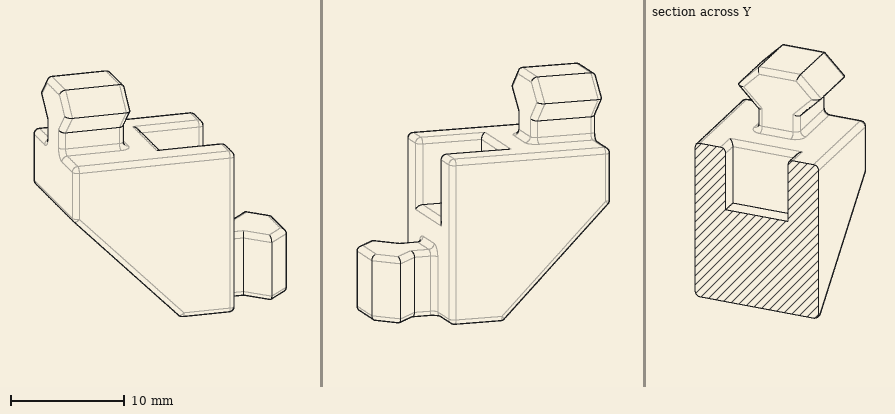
import cadquery as cq

BODY_WIDTH = 12.0
BODY_SIZE = 15.0
BEVEL_LEG = 10.0
EDGE_RADIUS = 0.5

TAB_LENGTH = 6.0
NECK_WIDTH = 4.0
NECK_HEIGHT = 2.0
HEAD_WIDTH = 8.0
HEAD_HEIGHT = 4.0

NOTCH_SIZE = 6.0

TOLERANCE = 1e-3


def make_body():
    """Block with a sloping lower front, centred on X."""
    outline = [
        (BEVEL_LEG, 0),
        (BODY_SIZE, 0),
        (BODY_SIZE, BODY_SIZE),
        (0, BODY_SIZE),
        (0, BEVEL_LEG),
    ]
    return cq.Workplane("YZ").polyline(outline).close().extrude(BODY_WIDTH / 2, both=True)


def make_tab(plane, extrusion):
    """Tab whose profile stands on the body face at a distance BODY_SIZE along the plane's second axis."""
    half_neck = NECK_WIDTH / 2
    half_head = HEAD_WIDTH / 2
    shoulder = BODY_SIZE + NECK_HEIGHT
    widest = shoulder + HEAD_HEIGHT / 2
    tip = shoulder + HEAD_HEIGHT
    outline = [
        (-half_neck, BODY_SIZE),
        (half_neck, BODY_SIZE),
        (half_neck, shoulder),
        (half_head, widest),
        (half_neck, tip),
        (-half_neck, tip),
        (-half_head, widest),
        (-half_neck, shoulder),
    ]
    return cq.Workplane(plane).polyline(outline).close().extrude(extrusion)


def make_notch():
    """Cutter that opens through the top and rear faces."""
    corner = BODY_SIZE - NOTCH_SIZE
    cutter = cq.Workplane("XY").box(NOTCH_SIZE, NOTCH_SIZE, NOTCH_SIZE, centered=(True, False, False))
    return cutter.translate((0, corner, corner))


def is_tab_ridge(edge):
    """True for the lengthwise edges of either tab, away from the body."""
    center = edge.Center()
    half_length = TAB_LENGTH / 2
    on_top = center.z > BODY_SIZE + TOLERANCE and abs(center.y - half_length) < TOLERANCE
    on_rear = center.y > BODY_SIZE + TOLERANCE and abs(center.z - half_length) < TOLERANCE
    return on_top or on_rear


def is_notch_corner(edge):
    """True for the inside corners of the notch, which lie below the top and ahead of the rear face."""
    center = edge.Center()
    limit = BODY_SIZE - TOLERANCE
    start = BODY_SIZE - NOTCH_SIZE - TOLERANCE
    return (
        abs(center.x) < NOTCH_SIZE / 2 + TOLERANCE
        and start < center.y < limit
        and start < center.z < limit
    )


def round_edges(part):
    """Round every edge, inside and out, except the tab ridges and the notch corners."""
    rounded = [
        edge for edge in part.edges().vals()
        if not is_tab_ridge(edge) and not is_notch_corner(edge)
    ]
    return part.newObject(rounded).fillet(EDGE_RADIUS)


top_tab = make_tab("XZ", -TAB_LENGTH)
rear_tab = make_tab("XY", TAB_LENGTH)
blank = make_body().union(top_tab).union(rear_tab).cut(make_notch())

result = round_edges(blank)